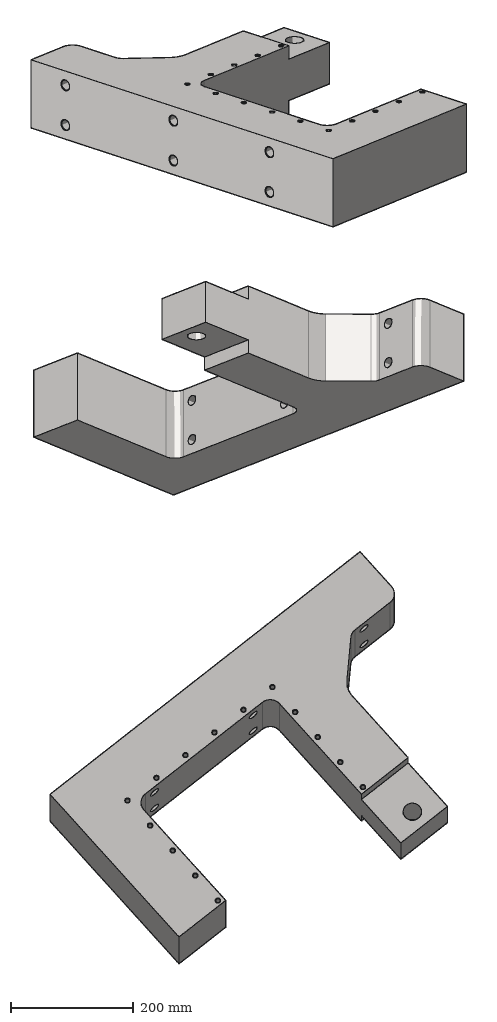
import cadquery as cq

overall_length = 663.0
thickness = 120.0
bar_depth = 100.0
arm_end_y = 328.0

arm_width = 100.0
opening_width = 290.0
opening_right_x = overall_length - arm_width
opening_left_x = opening_right_x - opening_width
arm_left_x = opening_left_x - arm_width
opening_fillet = 20.0

gusset_leg = 70.0
gusset_top_fillet = 40.0
gusset_foot_fillet = 20.0
bar_end_fillet = 20.0

tongue_length = 100.0
tongue_thickness = 73.0
pin_hole_diameter = 30.0
pin_hole_end_distance = 30.0

mount_hole_x = (75.5, 312.5, 523.5)
mount_hole_spacing_z = 70.0
mount_hole_diameter = 17.0
mount_hole_chamfer = 1.0

screw_hole_diameter = 6.8
screw_hole_chamfer = 1.1
screw_hole_depth = 20.0
screw_edge_distance = 10.0
screw_end_distance = 8.0
screw_pitches_across = 5
screw_pitches_along_arm = 4

half_thickness = thickness / 2


def fillet_vertical_edge(solid, x, y, radius):
    """Round the vertical edge that passes through (x, y)."""
    return solid.edges(cq.selectors.NearestToPointSelector((x, y, 0))).fillet(radius)


def make_chamfered_holes(plane_points, diameter, depth, chamfer):
    """Bores running inward from a face, each with a 45 degree chamfer at its mouth."""
    bores = plane_points.circle(diameter / 2).extrude(-depth)
    mouths = plane_points.circle(diameter / 2 + chamfer).extrude(-chamfer, taper=45)
    return bores.union(mouths)


def make_body():
    outline = [
        (0, 0),
        (overall_length, 0),
        (overall_length, arm_end_y),
        (opening_right_x, arm_end_y),
        (opening_right_x, bar_depth),
        (opening_left_x, bar_depth),
        (opening_left_x, arm_end_y),
        (arm_left_x, arm_end_y),
        (arm_left_x, bar_depth + gusset_leg),
        (arm_left_x - gusset_leg, bar_depth),
        (0, bar_depth),
    ]
    body = cq.Workplane("XY").polyline(outline).close().extrude(half_thickness, both=True)
    rounded_corners = [
        (opening_right_x, bar_depth, opening_fillet),
        (opening_left_x, bar_depth, opening_fillet),
        (arm_left_x, bar_depth + gusset_leg, gusset_top_fillet),
        (arm_left_x - gusset_leg, bar_depth, gusset_foot_fillet),
        (0, bar_depth, bar_end_fillet),
    ]
    for x, y, radius in rounded_corners:
        body = fillet_vertical_edge(body, x, y, radius)
    return body


def make_tongue():
    center_x = arm_left_x + arm_width / 2
    tongue_end_y = arm_end_y + tongue_length
    tongue = cq.Workplane("XY").box(arm_width, tongue_length, tongue_thickness)
    tongue = tongue.translate((center_x, arm_end_y + tongue_length / 2, 0))
    pin_hole = (
        cq.Workplane("XY")
        .center(center_x, tongue_end_y - pin_hole_end_distance)
        .circle(pin_hole_diameter / 2)
        .extrude(half_thickness, both=True)
    )
    return tongue.cut(pin_hole)


def make_mount_holes():
    """Through holes along Y, chamfered where they enter the front face."""
    z_offset = mount_hole_spacing_z / 2
    centers = [(x, z) for x in mount_hole_x for z in (-z_offset, z_offset)]
    front_plane = cq.Workplane("XZ").pushPoints(centers)
    return make_chamfered_holes(front_plane, mount_hole_diameter, bar_depth, mount_hole_chamfer)


def make_screw_holes():
    """Chamfered blind holes in the top face, in one row along each side of the opening."""
    left_x = opening_left_x - screw_edge_distance
    right_x = opening_right_x + screw_edge_distance
    row_y = bar_depth - screw_edge_distance
    pitch_x = (right_x - left_x) / screw_pitches_across
    pitch_y = (arm_end_y - screw_end_distance - row_y) / screw_pitches_along_arm

    centers = [(left_x + i * pitch_x, row_y) for i in range(screw_pitches_across + 1)]
    for x in (left_x, right_x):
        centers += [(x, row_y + i * pitch_y) for i in range(1, screw_pitches_along_arm + 1)]
    top_plane = cq.Workplane("XY", origin=(0, 0, half_thickness)).pushPoints(centers)
    return make_chamfered_holes(top_plane, screw_hole_diameter, screw_hole_depth, screw_hole_chamfer)


result = make_body().union(make_tongue()).cut(make_mount_holes()).cut(make_screw_holes())